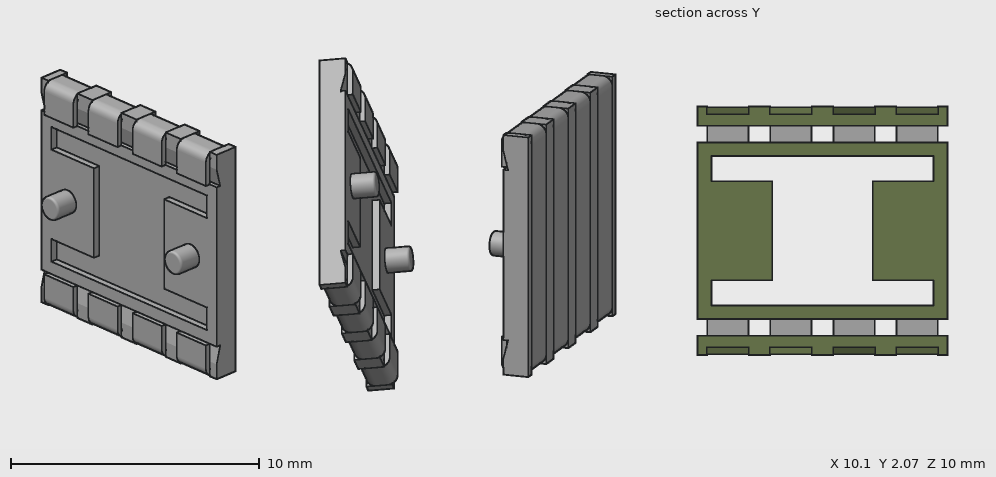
import cadquery as cq

width = 10.06
height = 10.0
plate_depth = 1.07
overall_depth = 2.07

contact_count = 4
contact_pitch = 2.54
contact_width = 1.67
contact_thickness = 0.22
bend_outer_radius = 0.4
bend_inner_radius = bend_outer_radius - contact_thickness
lip_height = 1.45
contact_depth = plate_depth + contact_thickness

groove_start = 0.66
groove_depth = 0.2

recess_width = 8.91
recess_height = 6.0
recess_flange = 1.01
recess_web_width = 4.02
recess_depth = 0.3

peg_diameter = 1.01
peg_spacing = 7.06
peg_tip_radius = 0.1


def block(size_x, size_z, front, back):
    """Box centred on X and Z that reaches from depth `front` to depth `back` in Y."""
    return cq.Workplane("XY").box(size_x, back - front, size_z).translate((0, (front + back) / 2, 0))


def channel_core():
    """Plate material that the inside of a contact wraps round, at X = 0."""
    core = block(contact_width, height - 2 * contact_thickness, -plate_depth, -contact_thickness)
    return core.edges("|X").fillet(bend_inner_radius)


def make_contact(center_x):
    """C-shaped contact: a rounded loop with its front left open between two lips."""
    loop = block(contact_width, height, -contact_depth, 0).edges("|X").fillet(bend_outer_radius)
    opening = block(contact_width, height - 2 * lip_height, -contact_depth, -plate_depth)
    return loop.cut(channel_core()).cut(opening).translate((center_x, 0, 0))


def contact_channel(center_x):
    """Square-cornered channel round the plate in which one contact lies."""
    channel = block(contact_width, height, -plate_depth, 0).cut(channel_core())
    return channel.translate((center_x, 0, 0))


def groove_cutter():
    """Upper relief groove: a wedge along the whole width, deepest at the lip end."""
    groove_top = height / 2 - groove_start
    groove_bottom = height / 2 - lip_height
    return (
        cq.Workplane("YZ")
        .polyline([
            (-plate_depth, groove_top),
            (-plate_depth + groove_depth, groove_bottom),
            (-plate_depth, groove_bottom),
        ])
        .close()
        .extrude(width / 2, both=True)
    )


def recess_cutter():
    """I-shaped pocket: a web between an upper and a lower flange."""
    floor = -plate_depth + recess_depth
    cutter = block(recess_web_width, recess_height, -plate_depth, floor)
    flange = block(recess_width, recess_flange, -plate_depth, floor)
    flange_z = (recess_height - recess_flange) / 2
    for side in (-1, 1):
        cutter = cutter.union(flange.translate((0, 0, side * flange_z)))
    return cutter


def make_peg(center_x):
    """Round peg standing on the front face, with a rounded tip edge."""
    return (
        cq.Workplane("XZ", origin=(center_x, -plate_depth, 0))
        .circle(peg_diameter / 2)
        .extrude(overall_depth - plate_depth)
        .faces("<Y")
        .fillet(peg_tip_radius)
    )


def make_housing(contact_centers):
    """Plate with contact channels, relief grooves, recess and pegs."""
    body = block(width, height, -plate_depth, 0)
    for center_x in contact_centers:
        body = body.cut(contact_channel(center_x))
    upper_groove = groove_cutter()
    body = body.cut(upper_groove).cut(upper_groove.mirror("XY"))
    body = body.cut(recess_cutter())
    for side in (-1, 1):
        body = body.union(make_peg(side * peg_spacing / 2))
    return body


contact_centers = [
    (index - (contact_count - 1) / 2) * contact_pitch
    for index in range(contact_count)
]

housing = make_housing(contact_centers)
contacts = [make_contact(center_x).val() for center_x in contact_centers]

result = cq.Compound.makeCompound([housing.val(), *contacts])